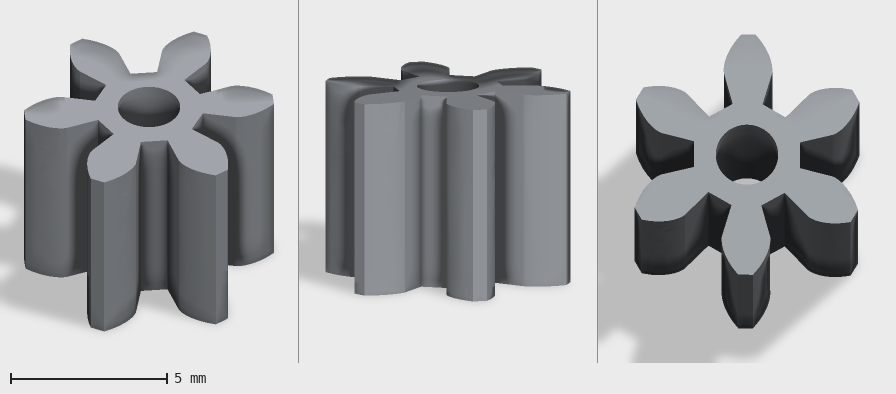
import cadquery as cq
import math

GEAR_LENGTH = 7.99
FACE_WIDTH = 6.25
BORE_DIAMETER = 2.0
TOOTH_COUNT = 6
PRESSURE_ANGLE = math.radians(20)
ADDENDUM_FACTOR = 1.0
DEDENDUM_FACTOR = 1.25
FLANK_STEPS = 8


def involute_angle(angle):
    """Polar angle swept by an involute where its pressure angle is `angle`."""
    return math.tan(angle) - angle


pitch_ratio = TOOTH_COUNT / 2
base_ratio = pitch_ratio * math.cos(PRESSURE_ANGLE)
outer_ratio = pitch_ratio + ADDENDUM_FACTOR
root_ratio = pitch_ratio - DEDENDUM_FACTOR

tooth_pitch = 2 * math.pi / TOOTH_COUNT
base_half_angle = tooth_pitch / 4 + involute_angle(PRESSURE_ANGLE)
tip_pressure_angle = math.acos(base_ratio / outer_ratio)
tip_half_angle = base_half_angle - involute_angle(tip_pressure_angle)

outer_radius = GEAR_LENGTH / 2 / math.cos(tip_half_angle)
module = outer_radius / outer_ratio
base_radius = module * base_ratio
root_radius = module * root_ratio


def polar_point(radius, angle):
    return (radius * math.cos(angle), radius * math.sin(angle))


def flank_points(tooth_angle, side):
    """Involute points from base circle to tip; side is -1 or +1 about the tooth axis."""
    points = []
    for step in range(FLANK_STEPS + 1):
        roll_angle = math.tan(tip_pressure_angle) * step / FLANK_STEPS
        pressure_angle = math.atan(roll_angle)
        radius = base_radius / math.cos(pressure_angle)
        half_angle = base_half_angle - involute_angle(pressure_angle)
        points.append(polar_point(radius, tooth_angle + side * half_angle))
    return points


def add_tooth(outline, tooth_angle):
    """Add a tooth and the straight root flat that leads to it."""
    rising = flank_points(tooth_angle, -1)
    falling = flank_points(tooth_angle, 1)[::-1]
    outline = outline.lineTo(*polar_point(root_radius, tooth_angle - base_half_angle))
    outline = outline.lineTo(*rising[0])
    outline = outline.spline(rising[1:], includeCurrent=True)
    outline = outline.lineTo(*falling[0])
    outline = outline.spline(falling[1:], includeCurrent=True)
    return outline.lineTo(*polar_point(root_radius, tooth_angle + base_half_angle))


start_angle = base_half_angle - tooth_pitch
gear_outline = cq.Workplane("XY").moveTo(*polar_point(root_radius, start_angle))
for tooth in range(TOOTH_COUNT):
    gear_outline = add_tooth(gear_outline, tooth * tooth_pitch)

gear_body = gear_outline.close().extrude(FACE_WIDTH)
bore = cq.Workplane("XY").circle(BORE_DIAMETER / 2).extrude(FACE_WIDTH)

result = gear_body.cut(bore)